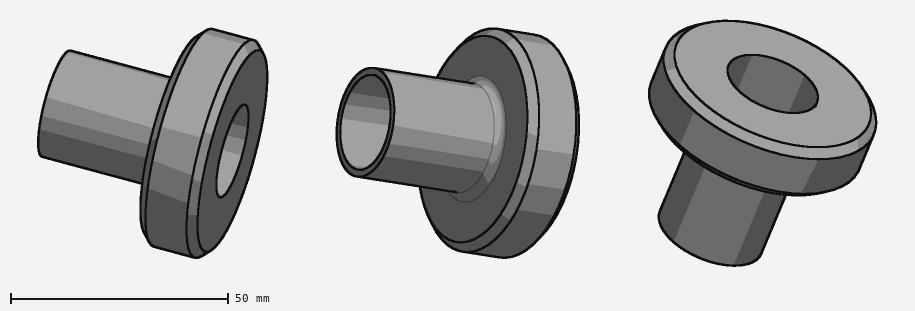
import cadquery as cq

total_length = 43.0
tube_diameter = 25.4
bore_diameter = 22.1
flange_diameter = 52.0
flange_thickness = 14.0
rim_chamfer = 2.0
root_fillet = 2.0

tube_length = total_length - flange_thickness


def disc(start_x, length, diameter):
    """Solid cylinder along +X starting at start_x."""
    return cq.Workplane("YZ", origin=(start_x, 0, 0)).circle(diameter / 2).extrude(length)


flange = disc(tube_length, flange_thickness, flange_diameter).edges().chamfer(rim_chamfer)

tube = disc(0, tube_length, tube_diameter)
body = flange.union(tube)
root_edge = cq.selectors.NearestToPointSelector((tube_length, 0, 0))
body = body.edges(root_edge).fillet(root_fillet)

result = body.cut(disc(0, total_length, bore_diameter))